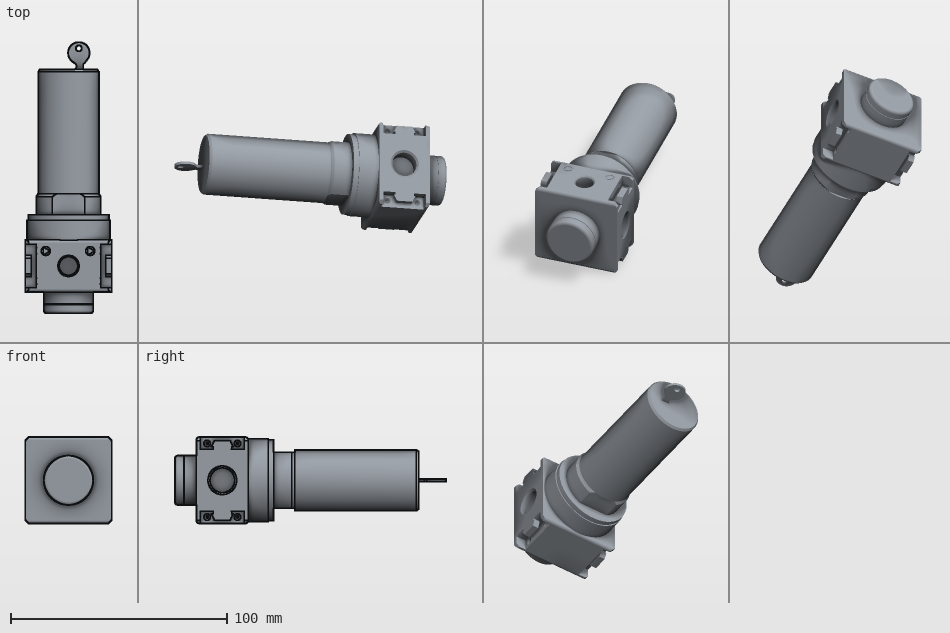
import cadquery as cq


BLOCK_SIDE = 40.0
BLOCK_LENGTH = 24.1
BLOCK_CORNER_CHAMFER = 1.6
BLOCK_EDGE_FILLET = 1.5
HALF_SIDE = BLOCK_SIDE / 2

CAP_DIAMETER = 23.0
CAP_FRONT_Y = -22.0
CAP_FILLET = 1.5
CAP_GROOVE_OFFSET = 4.0
CAP_GROOVE_WIDTH = 0.4
CAP_GROOVE_DEPTH = 0.3

COLLAR_DIAMETER = 38.5
COLLAR_END_Y = 21.2
RING_DIAMETER = 37.5
RING_END_Y = 23.7
NUT_DIAMETER = 30.0
NUT_ACROSS_FLATS = 26.0
NUT_END_Y = 33.5
NUT_CHAMFER_LENGTH = 1.5
NUT_CHAMFER_DEPTH = 1.0
BARREL_DIAMETER = 28.2
BARREL_END_Y = 90.9
BARREL_CHAMFER_LENGTH = 1.1
BARREL_CHAMFER_DEPTH = 0.8

KEY_X = 4.8
KEY_END_Y = 103.5
KEY_HEAD_DIAMETER = 10.0
KEY_THICKNESS = 1.3
KEY_HOLE_DIAMETER = 2.6
KEY_HOLE_OFFSET = 2.1
KEY_STEM_WIDTH = 3.3
KEY_STEM_X = 5.3
KEY_STEM_FLARE = 1.1
KEY_NECK_Y = 93.9

SIDE_PORT_DIAMETER = 11.4
SIDE_PORT_MOUTH = 13.3
SIDE_PORT_DEPTH = 7.5
TOP_PORT_DIAMETER = 8.5
TOP_PORT_MOUTH = 9.8
TOP_PORT_DEPTH = 10.0

RECESS_LENGTH = 20.2
RECESS_HEIGHT = 5.8
RECESS_DEPTH = 5.1
TAB_THICKNESS = 2.9
TAB_DROP = 1.6
TAB_TOP_LENGTH = 7.3
TAB_WAIST_LENGTH = 10.0
TAB_FOOT_LENGTH = 8.5
TAB_FOOT_HEIGHT = 1.3
SCREW_HOLE_DIAMETER = 3.0
SCREW_HOLE_TIP_DIAMETER = 1.0
SCREW_HOLE_DEPTH = 1.3
SCREW_HOLE_Y = 7.0
SCREW_HOLE_DROP = 3.0

ARROW_DIAMETER = 4.1
ARROW_DEPTH = 0.3
ARROW_SPACING = 20.6
ARROW_CENTRE_X = -0.3
ARROW_Y = 6.9


def cylinder_along_y(diameter, start_y, end_y):
    disc = cq.Workplane("XZ", origin=(0, start_y, 0)).circle(diameter / 2)
    return disc.extrude(start_y - end_y)


def make_block():
    block = cq.Workplane("XY").box(BLOCK_SIDE, BLOCK_LENGTH, BLOCK_SIDE)
    block = block.edges("|Y").chamfer(BLOCK_CORNER_CHAMFER)
    return block.faces("<Z or >Z").edges("|X").fillet(BLOCK_EDGE_FILLET)


def make_cap():
    cap = cylinder_along_y(CAP_DIAMETER, CAP_FRONT_Y, 0)
    cap = cap.faces("<Y").edges().fillet(CAP_FILLET)
    groove_start = CAP_FRONT_Y + CAP_GROOVE_OFFSET
    groove_end = groove_start + CAP_GROOVE_WIDTH
    groove = cylinder_along_y(CAP_DIAMETER, groove_start, groove_end)
    core = cylinder_along_y(CAP_DIAMETER - 2 * CAP_GROOVE_DEPTH, groove_start, groove_end)
    return cap.cut(groove.cut(core))


def make_nut():
    nut = cylinder_along_y(NUT_DIAMETER, 0, NUT_END_Y)
    nut = nut.faces(">Y").chamfer(NUT_CHAMFER_LENGTH, NUT_CHAMFER_DEPTH)
    flats = cq.Workplane("XY").box(NUT_DIAMETER, 2 * NUT_END_Y, NUT_ACROSS_FLATS)
    return nut.intersect(flats)


def make_barrel():
    barrel = cylinder_along_y(BARREL_DIAMETER, NUT_END_Y, BARREL_END_Y)
    return barrel.faces(">Y").chamfer(BARREL_CHAMFER_LENGTH, BARREL_CHAMFER_DEPTH)


def make_key():
    head_y = KEY_END_Y - KEY_HEAD_DIAMETER / 2
    plane = cq.Workplane("XY", origin=(0, 0, -KEY_THICKNESS / 2))
    head = plane.center(KEY_X, head_y).circle(KEY_HEAD_DIAMETER / 2).extrude(KEY_THICKNESS)
    left_x = KEY_STEM_X - KEY_STEM_WIDTH / 2
    right_x = KEY_STEM_X + KEY_STEM_WIDTH / 2
    root_y = BARREL_END_Y - BARREL_CHAMFER_LENGTH
    stem = (
        plane.moveTo(left_x - KEY_STEM_FLARE, root_y)
        .lineTo(left_x - KEY_STEM_FLARE, BARREL_END_Y)
        .threePointArc((left_x, (BARREL_END_Y + KEY_NECK_Y) / 2), (left_x - KEY_STEM_FLARE, KEY_NECK_Y))
        .lineTo(KEY_X, head_y)
        .lineTo(right_x + KEY_STEM_FLARE, KEY_NECK_Y + KEY_STEM_FLARE / 2)
        .lineTo(right_x, KEY_NECK_Y - KEY_STEM_FLARE / 2)
        .lineTo(right_x, root_y)
        .close()
        .extrude(KEY_THICKNESS)
    )
    hole = plane.center(KEY_X, head_y + KEY_HOLE_OFFSET).circle(KEY_HOLE_DIAMETER / 2)
    return head.union(stem).cut(hole.extrude(KEY_THICKNESS))


def port_cutter(face_plane, diameter, mouth, depth):
    """Blind port with a 45-degree countersunk mouth, cut down from a face of the block."""
    sink = (mouth - diameter) / 2
    bore = face_plane.circle(diameter / 2).extrude(-depth)
    cone = face_plane.circle(mouth / 2).extrude(-sink, taper=45)
    return bore.union(cone)


def screw_hole_cutter(y, z):
    """Conical hole in the back wall of a recess, pointing in +X."""
    mouth = cq.Workplane("YZ", origin=(RECESS_DEPTH - HALF_SIDE, y, z))
    cone = mouth.circle(SCREW_HOLE_DIAMETER / 2).workplane(offset=SCREW_HOLE_DEPTH)
    return cone.circle(SCREW_HOLE_TIP_DIAMETER / 2).loft(combine=True)


def recess_cutter():
    """Recess at the -X, +Z edge, leaving a dovetail tab flush with the -X face."""
    floor_z = HALF_SIDE - RECESS_HEIGHT
    side_plane = cq.Workplane("YZ", origin=(-HALF_SIDE, 0, 0))
    pocket = side_plane.center(0, HALF_SIDE - RECESS_HEIGHT / 2)
    pocket = pocket.rect(RECESS_LENGTH, RECESS_HEIGHT).extrude(RECESS_DEPTH)
    foot_z = floor_z + TAB_FOOT_HEIGHT
    half_tab = [
        (TAB_FOOT_LENGTH / 2, floor_z),
        (TAB_FOOT_LENGTH / 2, foot_z),
        (TAB_WAIST_LENGTH / 2, foot_z),
        (TAB_TOP_LENGTH / 2, HALF_SIDE - TAB_DROP),
    ]
    mirrored = [(-y, z) for y, z in reversed(half_tab)]
    tab = side_plane.polyline(half_tab + mirrored).close().extrude(TAB_THICKNESS)
    cutter = pocket.cut(tab)
    for y in (-SCREW_HOLE_Y, SCREW_HOLE_Y):
        cutter = cutter.union(screw_hole_cutter(y, HALF_SIDE - SCREW_HOLE_DROP))
    return cutter


def arrow_cutter(x):
    """Round recess in the top face with a raised triangle pointing in +X."""
    floor = cq.Workplane("XY", origin=(x, ARROW_Y, HALF_SIDE - ARROW_DEPTH))
    disc = floor.circle(ARROW_DIAMETER / 2).extrude(ARROW_DEPTH)
    return disc.cut(floor.polygon(3, ARROW_DIAMETER).extrude(ARROW_DEPTH))


result = make_block().union(make_cap())
result = result.union(cylinder_along_y(COLLAR_DIAMETER, 0, COLLAR_END_Y))
result = result.union(cylinder_along_y(RING_DIAMETER, 0, RING_END_Y))
result = result.union(make_nut()).union(make_barrel()).union(make_key())

for direction in (-1, 1):
    side_face = cq.Workplane(
        cq.Plane(origin=(direction * HALF_SIDE, 0, 0), xDir=(0, 1, 0), normal=(direction, 0, 0))
    )
    result = result.cut(port_cutter(side_face, SIDE_PORT_DIAMETER, SIDE_PORT_MOUTH, SIDE_PORT_DEPTH))
top_face = cq.Workplane("XY", origin=(0, 0, HALF_SIDE))
result = result.cut(port_cutter(top_face, TOP_PORT_DIAMETER, TOP_PORT_MOUTH, TOP_PORT_DEPTH))

upper_recess = recess_cutter()
lower_recess = upper_recess.mirror("XY")
for recess in (upper_recess, lower_recess):
    result = result.cut(recess).cut(recess.mirror("YZ"))

for side in (-1, 1):
    result = result.cut(arrow_cutter(ARROW_CENTRE_X + side * ARROW_SPACING / 2))